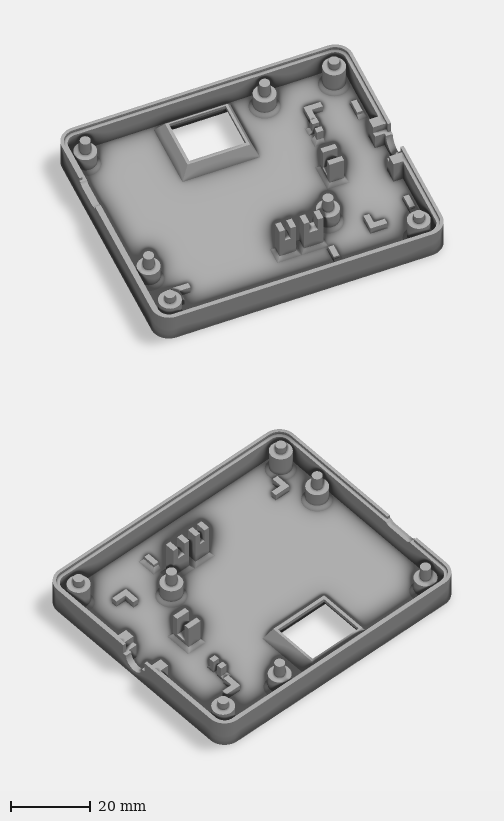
import cadquery as cq

LENGTH_X = 67.3
LENGTH_Y = 79.0
RIM_Z = 8.6
FLOOR_Z = 1.0
ROOT_Z = FLOOR_Z / 2
WALL = 1.8
LIP_WIDTH = 0.9
LIP_HEIGHT = 0.9
LEDGE_Z = RIM_Z - LIP_HEIGHT
CORNER_RADIUS = 4.75
BOTTOM_CHAMFER = 0.55

FOOT = 1.0

POST_DIAMETER = 6.0
SHORT_POST_Z = 6.0
TALL_POST_Z = 7.9
PIN_DIAMETER = 2.8
PIN_TOP_Z = 10.1
POST_X = 27.3
POST_INNER_X = 13.6
POST_Y = 33.8
POST_MIDDLE_Y = 14.9
POSTS = [
    (-POST_X, POST_Y, TALL_POST_Z),
    (POST_X, POST_Y, TALL_POST_Z),
    (-POST_X, POST_MIDDLE_Y, SHORT_POST_Z),
    (POST_INNER_X, POST_MIDDLE_Y, SHORT_POST_Z),
    (-POST_X, -POST_Y, SHORT_POST_Z),
    (POST_INNER_X, -POST_Y, SHORT_POST_Z),
    (POST_X, -POST_Y, TALL_POST_Z),
]

WINDOW_X = (-28.3, -15.2)
WINDOW_Y = (-10.7, 4.75)
FRAME_TOP_X = (-28.75, -14.2)
FRAME_TOP_Y = (-11.5, 5.45)
FRAME_FOOT_X = (-31.0, -12.4)
FRAME_FOOT_Y = (-13.7, 7.4)
FRAME_TOP_Z = 4.8
FRAME_THICKNESS = 0.95

CABLE_DIAMETER = 6.0
CABLE_AXIS_Z = 5.5
LIP_GAP = 8.05
SEAT_GAP = 10.3
CHEEK_INNER_X = 3.95
CHEEK_OUTER_X = 8.0
CHEEK_FRONT_Y = 35.1
CHEEK_TOP_Z = LEDGE_Z

PORT_X = -12.6
PORT_FLAT = 6.0
PORT_RADIUS = 2.0
PORT_FLOOR_Z = 7.1
PORT_LIP_GAP = 10.1

PRONG = 1.5
TALL_TOP_Z = 11.5
TALL_X = 18.9
TALL_WIDTH = 2.85
TALL_SLOT_FLOOR_Z = 7.5
TALL_HOLDERS = [(8.2, 2.3), (1.2, 1.5)]
CENTRE_HOLDER_Y = 21.8
CENTRE_HOLDER_DEPTH = 3.95
CENTRE_SLOT = 2.85
CENTRE_TOP_Z = 9.0
CENTRE_SLOT_FLOOR_Z = 3.15
SMALL_HOLDER_X = -13.4
SMALL_HOLDER_Y = (22.35, 24.2)
SMALL_SLOT = 1.4
SMALL_TOP_Z = 5.0

STOP_TOP_Z = 3.0
STOP_DEPTH = 1.5
STOPS = [
    (-16.9, 34.8, 3.95),
    (16.9, 34.8, 3.95),
    (24.7, 11.05, 3.6),
]

LOCATOR_ARM = 4.6
LOCATOR_WIDTH = 1.6
LOCATOR_TOP_Z = 3.0
LOCATORS = [(-21.7, 23.15, 1), (21.5, 23.15, -1), (20.2, -30.4, 1)]


def box(x_range, y_range, z_range):
    """Box spanning the given ranges."""
    return (
        cq.Workplane("XY")
        .box(
            x_range[1] - x_range[0],
            y_range[1] - y_range[0],
            z_range[1] - z_range[0],
            centered=False,
        )
        .translate((x_range[0], y_range[0], z_range[0]))
    )


def around(centre, size):
    """Range of the given size about a centre."""
    return (centre - size / 2, centre + size / 2)


def rounded_slab(inset, z_bottom, z_top):
    """Slab following the tray outline, moved inward by inset."""
    return (
        cq.Workplane("XY")
        .workplane(offset=z_bottom)
        .rect(LENGTH_X - 2 * inset, LENGTH_Y - 2 * inset)
        .extrude(z_top - z_bottom)
        .edges("|Z")
        .fillet(CORNER_RADIUS - inset)
    )


def frustum(x_low, y_low, z_low, x_high, y_high, z_high):
    """Four-sided frustum between two rectangles given as X and Y ranges."""
    x_shift = sum(x_high) / 2 - sum(x_low) / 2
    y_shift = sum(y_high) / 2 - sum(y_low) / 2
    return (
        cq.Workplane("XY", origin=(sum(x_low) / 2, sum(y_low) / 2, z_low))
        .rect(x_low[1] - x_low[0], y_low[1] - y_low[0])
        .workplane(offset=z_high - z_low)
        .center(x_shift, y_shift)
        .rect(x_high[1] - x_high[0], y_high[1] - y_high[0])
        .loft(ruled=True)
    )


def footed_block(x_range, y_range, z_top, foot_front=FOOT, foot_back=FOOT):
    """Upright block with a sloped foot; the -Y and +Y feet may be left out."""
    block = box(x_range, y_range, (ROOT_Z, z_top))
    foot = frustum(
        (x_range[0] - FOOT, x_range[1] + FOOT),
        (y_range[0] - foot_front, y_range[1] + foot_back),
        FLOOR_Z,
        x_range,
        y_range,
        FLOOR_Z + FOOT,
    )
    return block.union(foot)


def make_tray():
    outside = rounded_slab(0, 0, RIM_Z).faces("<Z").edges().chamfer(BOTTOM_CHAMFER)
    cavity = rounded_slab(WALL, FLOOR_Z, RIM_Z)
    lip_recess = rounded_slab(LIP_WIDTH, LEDGE_Z, RIM_Z)
    return outside.cut(cavity).cut(lip_recess)


def make_post(x, y, shoulder_z):
    radius = POST_DIAMETER / 2
    profile = [
        (0, ROOT_Z),
        (radius + FOOT, ROOT_Z),
        (radius + FOOT, FLOOR_Z),
        (radius, FLOOR_Z + FOOT),
        (radius, shoulder_z),
        (PIN_DIAMETER / 2, shoulder_z),
        (PIN_DIAMETER / 2, PIN_TOP_Z),
        (0, PIN_TOP_Z),
    ]
    return cq.Workplane("XZ").polyline(profile).close().revolve(360, (0, 0), (0, 1)).translate((x, y, 0))


def add_window(body):
    frame = frustum(FRAME_FOOT_X, FRAME_FOOT_Y, FLOOR_Z, FRAME_TOP_X, FRAME_TOP_Y, FRAME_TOP_Z)
    recess = frustum(
        (FRAME_FOOT_X[0] + FRAME_THICKNESS, FRAME_FOOT_X[1] - FRAME_THICKNESS),
        (FRAME_FOOT_Y[0] + FRAME_THICKNESS, FRAME_FOOT_Y[1] - FRAME_THICKNESS),
        0,
        WINDOW_X,
        WINDOW_Y,
        FRAME_TOP_Z - FRAME_THICKNESS,
    )
    opening = box(WINDOW_X, WINDOW_Y, (0, FRAME_TOP_Z))
    return body.union(frame).cut(recess).cut(opening)


def add_cable_exit(body):
    outer_y = LENGTH_Y / 2
    ledge_y = outer_y - LIP_WIDTH
    inner_y = outer_y - WALL
    for x_range in ((-CHEEK_OUTER_X, -CHEEK_INNER_X), (CHEEK_INNER_X, CHEEK_OUTER_X)):
        body = body.union(box(x_range, (CHEEK_FRONT_Y, ledge_y), (ROOT_Z, CHEEK_TOP_Z)))
    lip_gap = box(around(0, LIP_GAP), (inner_y, outer_y), (CABLE_AXIS_Z, RIM_Z))
    seat_gap = box(around(0, SEAT_GAP), (CHEEK_FRONT_Y, ledge_y), (CABLE_AXIS_Z, RIM_Z))
    cable = (
        cq.Workplane("XZ", origin=(0, outer_y, CABLE_AXIS_Z))
        .circle(CABLE_DIAMETER / 2)
        .extrude(WALL)
    )
    return body.cut(lip_gap).cut(seat_gap).cut(cable)


def cut_port(body):
    outer_y = -LENGTH_Y / 2
    lip_gap = box(around(PORT_X, PORT_LIP_GAP), (outer_y, outer_y + WALL), (LEDGE_Z, RIM_Z))
    port = (
        cq.Workplane("XZ", origin=(PORT_X, outer_y, PORT_FLOOR_Z + PORT_RADIUS))
        .slot2D(PORT_FLAT + 2 * PORT_RADIUS, 2 * PORT_RADIUS)
        .extrude(-WALL)
    )
    port = port.intersect(box(around(PORT_X, PORT_LIP_GAP), (outer_y, outer_y + WALL), (0, LEDGE_Z)))
    return body.cut(lip_gap).cut(port)


def make_tall_holder(y, slot):
    x_range = around(TALL_X, TALL_WIDTH)
    holder = footed_block(x_range, around(y, slot + 2 * PRONG), TALL_TOP_Z)
    return holder.cut(box(x_range, around(y, slot), (TALL_SLOT_FLOOR_Z, TALL_TOP_Z)))


def make_centre_holder():
    y_range = around(CENTRE_HOLDER_Y, CENTRE_HOLDER_DEPTH)
    holder = footed_block(around(0, CENTRE_SLOT + 2 * PRONG), y_range, CENTRE_TOP_Z)
    return holder.cut(box(around(0, CENTRE_SLOT), y_range, (CENTRE_SLOT_FLOOR_Z, CENTRE_TOP_Z)))


def make_small_holder():
    x_range = around(SMALL_HOLDER_X, SMALL_SLOT + 2 * PRONG)
    holder = footed_block(x_range, SMALL_HOLDER_Y, SMALL_TOP_Z, foot_back=0)
    slot_y = (SMALL_HOLDER_Y[0] - FOOT, SMALL_HOLDER_Y[1])
    return holder.cut(box(around(SMALL_HOLDER_X, SMALL_SLOT), slot_y, (FLOOR_Z, SMALL_TOP_Z)))


def make_stop(x, y, width):
    return footed_block(around(x, width), (y, y + STOP_DEPTH), STOP_TOP_Z, foot_front=0)


def make_locator(x, y, direction):
    z_range = (ROOT_Z, LOCATOR_TOP_Z)
    along_x = box(sorted((x, x + direction * LOCATOR_ARM)), (y, y + LOCATOR_WIDTH), z_range)
    along_y = box(sorted((x, x + direction * LOCATOR_WIDTH)), (y, y + LOCATOR_ARM), z_range)
    return along_x.union(along_y)


result = make_tray()
for post in POSTS:
    result = result.union(make_post(*post))
for holder in TALL_HOLDERS:
    result = result.union(make_tall_holder(*holder))
result = result.union(make_centre_holder())
result = result.union(make_small_holder())
for stop in STOPS:
    result = result.union(make_stop(*stop))
for locator in LOCATORS:
    result = result.union(make_locator(*locator))
result = add_window(result)
result = add_cable_exit(result)
result = cut_port(result)